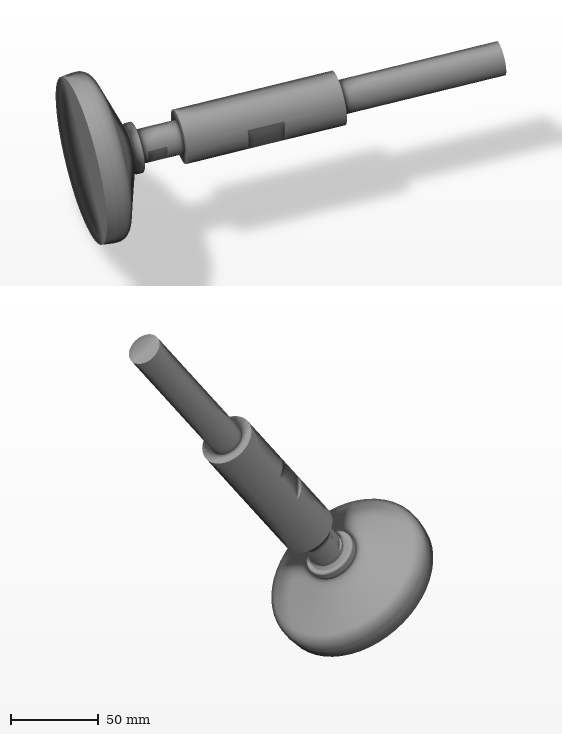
import cadquery as cq
import math

TOTAL_LENGTH = 250.0

BASE_RADIUS = 50.0
BOTTOM_RADIUS = 49.2
TAPER_HEIGHT = 6.2
RIM_TOP = 9.2
SHOULDER_RADIUS = 7.2
CONE_ANGLE = math.radians(20.4)

NECK_RADIUS = 14.5
COLLAR_RADIUS = 15.0
COLLAR_BOTTOM = 28.5
COLLAR_TOP = 33.5
COLLAR_ROUNDING = 1.0
FLARE_RADIUS = 12.2
LIP_HEIGHT = 0.8
FOOT_TOP = 35.5

ROD_RADIUS = 10.0
SLEEVE_RADIUS = 16.0
SLEEVE_BOTTOM = 58.2
SLEEVE_LENGTH = 95.0

ROD_FLAT_WIDTH = 17.2
ROD_FLAT_BOTTOM = 37.0
ROD_FLAT_LENGTH = 11.5
SLEEVE_FLAT_WIDTH = 27.0
SLEEVE_FLAT_LENGTH = 22.0
SLEEVE_FLAT_BOTTOM = SLEEVE_BOTTOM + (SLEEVE_LENGTH - SLEEVE_FLAT_LENGTH) / 2


def cylinder(radius, bottom, length):
    """Solid cylinder on the Y axis, rising from Y = bottom."""
    return cq.Workplane("XZ", origin=(0, bottom, 0)).circle(radius).extrude(-length)


def cut_flats(body, radius, width, bottom, length):
    """Cut a pair of wrench flats into a round section of the given radius."""
    depth = radius - width / 2
    for side in (-1, 1):
        cutter = cq.Workplane("XY").box(2 * depth, length, 2 * radius)
        body = body.cut(cutter.translate((side * (width / 2 + depth), bottom + length / 2, 0)))
    return body


def make_foot():
    """Base with its rim, cone and collar, revolved about the Y axis."""
    center_r = BASE_RADIUS - SHOULDER_RADIUS

    def shoulder_point(angle):
        return (center_r + SHOULDER_RADIUS * math.cos(angle), RIM_TOP + SHOULDER_RADIUS * math.sin(angle))

    shoulder_sweep = math.pi / 2 - CONE_ANGLE
    cone_start = shoulder_point(shoulder_sweep)
    cone_top = cone_start[1] + (cone_start[0] - NECK_RADIUS) * math.tan(CONE_ANGLE)
    base = (
        cq.Workplane("XY")
        .lineTo(BOTTOM_RADIUS, 0)
        .lineTo(BASE_RADIUS, TAPER_HEIGHT)
        .lineTo(BASE_RADIUS, RIM_TOP)
        .threePointArc(shoulder_point(shoulder_sweep / 2), cone_start)
        .lineTo(NECK_RADIUS, cone_top)
        .lineTo(NECK_RADIUS, COLLAR_BOTTOM + COLLAR_ROUNDING)
        .lineTo(FLARE_RADIUS, COLLAR_TOP)
        .lineTo(ROD_RADIUS, FOOT_TOP - LIP_HEIGHT)
        .lineTo(ROD_RADIUS, FOOT_TOP)
        .lineTo(0, FOOT_TOP)
        .close()
        .revolve(360, (0, 0, 0), (0, 1, 0))
    )
    collar = cylinder(COLLAR_RADIUS, COLLAR_BOTTOM, COLLAR_TOP - COLLAR_BOTTOM)
    return base.union(collar.edges("%CIRCLE").fillet(COLLAR_ROUNDING))


def make_spindle():
    """Rod with a thicker sleeve section, each with its own wrench flats."""
    rod = cylinder(ROD_RADIUS, FOOT_TOP, TOTAL_LENGTH - FOOT_TOP)
    rod = cut_flats(rod, ROD_RADIUS, ROD_FLAT_WIDTH, ROD_FLAT_BOTTOM, ROD_FLAT_LENGTH)
    sleeve = cylinder(SLEEVE_RADIUS, SLEEVE_BOTTOM, SLEEVE_LENGTH)
    sleeve = cut_flats(sleeve, SLEEVE_RADIUS, SLEEVE_FLAT_WIDTH, SLEEVE_FLAT_BOTTOM, SLEEVE_FLAT_LENGTH)
    return rod.union(sleeve)


foot = make_foot()
spindle = make_spindle()

result = cq.Compound.makeCompound([*foot.solids().vals(), *spindle.solids().vals()])